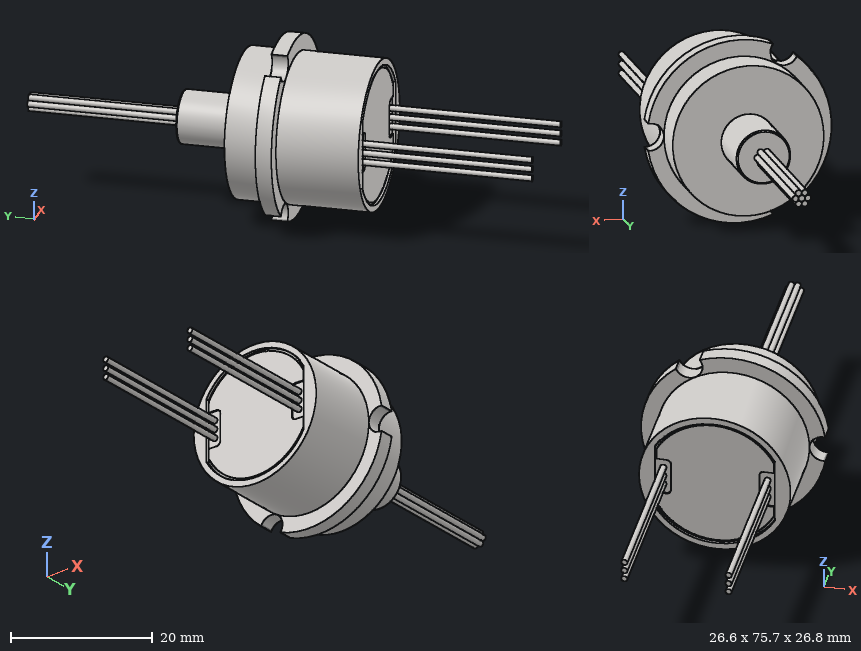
import cadquery as cq
import math


housing_diameter = 21.95
housing_length = 19.6

flange_diameter = 26.8
flange_thickness = 2.35
flange_start = 12.05
notch_count = 3
notch_radius = 2.0
notch_center_radius = 13.0

boss_diameter = 7.85
boss_length = 9.1
boss_chamfer = 0.2

recess_diameter = 20.0
recess_half_width = 8.7
recess_depth = 0.5
lid_gap_round = 0.4
lid_gap_flat = 0.2
lid_setback = 0.25

window_width = 2.3
window_height = 5.7
window_corner_radius = 0.7

pin_diameter = 0.9
pin_length = 24.55
pin_pitch = 1.38
pins_per_row = 3
pin_row_offset = 7.54

wire_diameter = 0.9
wire_clearance = 0.02
wire_length = 22.45
wire_ring_count = 6

boss_end = housing_length + boss_length


def plane_at(y):
    """Sketch plane facing +Y at the given y, with local X along -X and local Y along Z."""
    return cq.Workplane(cq.Plane(origin=(0, y, 0), xDir=(-1, 0, 0), normal=(0, 1, 0)))


def cylinder(diameter, start, length, x=0.0, z=0.0):
    """Cylinder along +Y from start, with its axis at (x, z)."""
    return plane_at(start).center(-x, z).circle(diameter / 2).extrude(length)


def flatted_disc(diameter, half_width, start, length):
    """Disc along +Y with flats at x = +half_width and x = -half_width."""
    block = plane_at(start).rect(2 * half_width, diameter).extrude(length)
    return cylinder(diameter, start, length).intersect(block)


def make_flange():
    flange = cylinder(flange_diameter, flange_start, flange_thickness)
    flank_length = flange_diameter / 2
    slot = plane_at(flange_start).center(-notch_center_radius - flank_length / 2, 0)
    slot = slot.rect(flank_length, 2 * notch_radius).extrude(flange_thickness)
    notch = cylinder(2 * notch_radius, flange_start, flange_thickness, notch_center_radius).union(slot)
    for i in range(notch_count):
        flange = flange.cut(notch.rotate((0, 0, 0), (0, 1, 0), i * 360 / notch_count))
    return flange


def make_boss():
    return cylinder(boss_diameter, housing_length, boss_length).faces(">Y").chamfer(boss_chamfer)


def make_lid():
    lid_diameter = recess_diameter - 2 * lid_gap_round
    lid_half_width = recess_half_width - lid_gap_flat
    lid_thickness = recess_depth - lid_setback
    lid = flatted_disc(lid_diameter, lid_half_width, lid_setback, lid_thickness)
    for side in (-1, 1):
        window = plane_at(lid_setback).center(side * recess_half_width, 0)
        window = window.rect(2 * window_width, window_height).extrude(lid_thickness)
        lid = lid.cut(window.edges("|Y").fillet(window_corner_radius))
    return lid


def add_pins(body):
    for side in (-1, 1):
        for i in range(pins_per_row):
            z = (i - (pins_per_row - 1) / 2) * pin_pitch
            pin = cylinder(pin_diameter, -pin_length, pin_length + recess_depth, side * pin_row_offset, z)
            body = body.union(pin)
    return body


def add_wires(body):
    ring_radius = wire_diameter + wire_clearance
    body = body.union(cylinder(wire_diameter, boss_end, wire_length))
    for i in range(wire_ring_count):
        angle = 2 * math.pi * i / wire_ring_count
        x = ring_radius * math.cos(angle)
        z = ring_radius * math.sin(angle)
        body = body.union(cylinder(wire_diameter, boss_end, wire_length, x, z))
    return body


housing = cylinder(housing_diameter, 0, housing_length).union(make_flange()).union(make_boss())
housing = housing.cut(flatted_disc(recess_diameter, recess_half_width, 0, recess_depth))
housing = housing.union(make_lid())
result = add_wires(add_pins(housing))